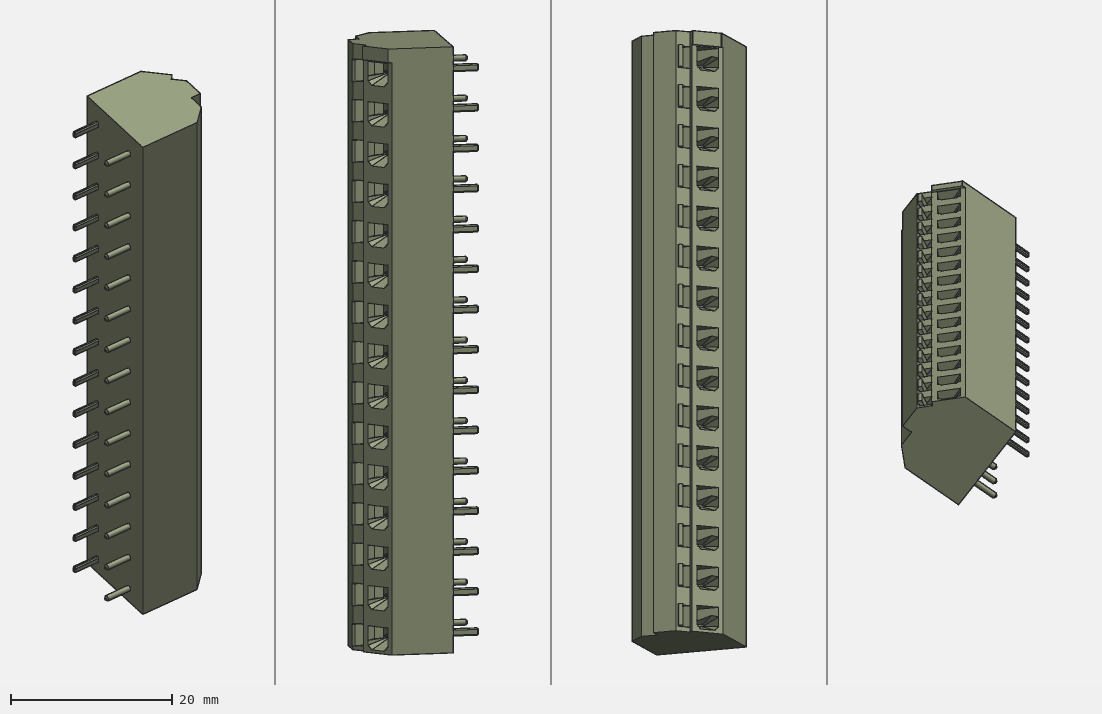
import cadquery as cq
import math

height = 76.4
width = 12.0
housing_depth = 11.8
pole_count = 15
pitch = 5.08
end_cap = 1.75
overshoot = 0.8

shoulder_drop = 3.5
shoulder_ledge = 0.1
ridge_drop = 0.85
groove_drop = 1.4
groove_x = 3.4
step_x = 7.7
entry_recess = 0.45

entry_center_drop = 2.5
entry_height_y = 2.1
entry_length = 3.0
funnel_rise = 1.15
funnel_depth = 2.9
funnel_corner = 0.5
funnel_end_width = 0.5
funnel_end_height = 0.1
entry_wall_run = 1.0
entry_bend_x = 0.4
entry_bend_y = 1.2

lever_length = 2.75
lever_radius = 0.3
lever_rise = 0.2
lever_x = 4.1
lever_lean = 0.4
lowest_lever_z = 0.6

pin_length = 3.6
pin_embed = 0.8
flat_pin_x = 2.2
pin_row_spacing = 6.8
flat_pin_thickness = 0.5
flat_pin_breadth = 0.9
flat_pin_chamfer = 0.15
round_pin_diameter = 0.8
pin_tip_chamfer = 0.2
lowest_pin_z = 2.2

crown_y = housing_depth
groove_y = crown_y - groove_drop
ridge_y = crown_y - ridge_drop
shoulder_y = crown_y - shoulder_drop
lever_tip_y = crown_y + lever_rise - lever_radius
entry_face_y = shoulder_y - entry_recess


def prism(points, bottom, length):
    """Extrude an XY outline upwards from the given Z."""
    return cq.Workplane("XY").workplane(offset=bottom).polyline(points).close().extrude(length)


def housing():
    outline = [
        (0, 0),
        (width, 0),
        (width, shoulder_y),
        (width - (groove_y - shoulder_y), groove_y),
        (step_x, groove_y),
        (step_x, crown_y),
        (groove_x + groove_drop, crown_y),
        (groove_x, groove_y),
        (groove_x - (ridge_y - groove_y), ridge_y),
        (shoulder_ledge + ridge_y - shoulder_y, ridge_y),
        (shoulder_ledge, shoulder_y),
        (0, shoulder_y),
    ]
    return prism(outline, 0, height)


def entry_face_cut():
    """45 degree slice that lowers the wire-entry face below the end cap."""
    groove_side_x = (groove_x + groove_y - entry_face_y) / 2
    outline = [
        (-overshoot, entry_face_y - overshoot),
        (groove_side_x, entry_face_y + groove_side_x),
        (groove_side_x, crown_y),
        (-overshoot, crown_y),
    ]
    return prism(outline, 0, height - end_cap)


def funnel(mouth, half_width, half_height):
    """Loft from a rectangle with bevelled corners to a narrower, much flatter one."""
    beveled_width = half_width - funnel_corner
    beveled_height = half_height - funnel_corner
    corners = [
        (half_width, beveled_height),
        (beveled_width, half_height),
        (-beveled_width, half_height),
        (-half_width, beveled_height),
        (-half_width, -beveled_height),
        (-beveled_width, -half_height),
        (beveled_width, -half_height),
        (half_width, -beveled_height),
    ]
    inner_end = [(x * funnel_end_width, y * funnel_end_height) for x, y in corners]
    outline = cq.Workplane(mouth).polyline(corners).close()
    return outline.workplane(offset=funnel_depth).polyline(inner_end).close().loft(ruled=True)


def wire_entry(bottom):
    """Pocket with a bent inner wall, opened out by a tapering funnel at its lower end."""
    center_y = crown_y - entry_center_drop
    center_x = center_y - entry_face_y
    half_y = entry_height_y / 2
    upper_x = center_x + half_y
    upper_y = center_y + half_y
    bend_x = upper_x + entry_wall_run
    bend_y = upper_y - entry_wall_run
    outline = [
        (upper_x, upper_y),
        (bend_x, bend_y),
        (bend_x + entry_bend_x, bend_y - entry_bend_y),
        (center_x - half_y, center_y - half_y),
    ]
    pocket = prism(outline, bottom + funnel_rise, entry_length - funnel_rise)

    mouth = cq.Plane(
        origin=(center_x, center_y, bottom + funnel_rise),
        xDir=(1, 1, 0),
        normal=(1, -1, 0),
    )
    side = half_y * math.sqrt(2)
    return pocket.union(funnel(mouth, side, funnel_rise))


def lever_slot(bottom):
    """Notch in the groove wall that frees the front of a lever."""
    outline = [
        (lever_x - lever_radius, lever_tip_y),
        (groove_x, groove_y),
        (lever_x + lever_lean, groove_y),
    ]
    return prism(outline, bottom, lever_length)


def lever(bottom):
    """Leaning lever with a rounded tip just above the crown."""
    foot_x = lever_x + lever_lean
    return (
        cq.Workplane("XY").workplane(offset=bottom)
        .moveTo(lever_x - lever_radius, lever_tip_y)
        .threePointArc((lever_x, lever_tip_y + lever_radius), (lever_x + lever_radius, lever_tip_y))
        .lineTo(foot_x + lever_radius, groove_y)
        .lineTo(foot_x, groove_y)
        .close()
        .extrude(lever_length)
    )


def pin_root(x):
    return cq.Workplane("XZ", origin=(x, pin_embed, lowest_pin_z))


def flat_pin():
    root = pin_root(flat_pin_x).rect(flat_pin_thickness, flat_pin_breadth)
    pin = root.extrude(pin_embed + pin_length)
    return pin.edges("|Y").chamfer(flat_pin_chamfer).faces("<Y").chamfer(flat_pin_chamfer)


def round_pin():
    root = pin_root(flat_pin_x + pin_row_spacing).circle(round_pin_diameter / 2)
    pin = root.extrude(pin_embed + pin_length)
    return pin.faces("<Y").chamfer(pin_tip_chamfer)


def at_every_pole(feature):
    """Copies of the lowest terminal's feature, one per pole."""
    shape = feature.val()
    copies = [shape.translate(cq.Vector(0, 0, pole * pitch)) for pole in range(pole_count)]
    return cq.Workplane(obj=cq.Compound.makeCompound(copies))


lowest_entry_z = lowest_lever_z + lever_length - entry_length

result = (
    housing()
    .cut(entry_face_cut())
    .cut(at_every_pole(lever_slot(lowest_lever_z)))
    .cut(at_every_pole(wire_entry(lowest_entry_z)))
    .union(at_every_pole(lever(lowest_lever_z)))
    .union(at_every_pole(flat_pin()))
    .union(at_every_pole(round_pin()))
)